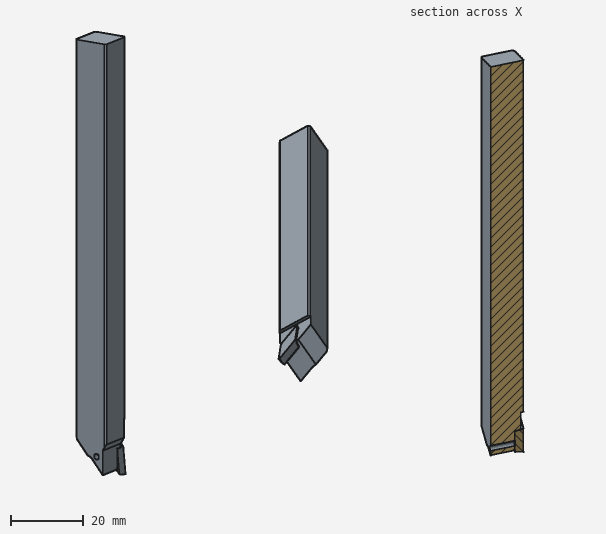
import cadquery as cq
import math


length = 125.0
width = 10.0
half = width / 2
edge_chamfer = 0.5

nose_angle = 35.0
lead_lean = 5.5
flank_lean = lead_lean + nose_angle
bisector = lead_lean + nose_angle / 2
insert_side = 8.3
insert_thickness = 2.6
insert_clearance = 7.0
nose_radius = 0.2

recess_depth = 0.75
recess_top = 16.0
seat_margin = 0.35
heel_height = 11.5
shoulder_x = -0.95
ledge_drop_angle = 15.0
ledge_fillet = 2.0
side_relief_x = 4.0
side_relief_top = 10.7
side_relief_bottom = 8.9
screw_hole_diameter = 1.6


def along(point, angle, distance):
    """Point reached by going up from `point`, leaning `angle` degrees from Z toward -X."""
    lean = math.radians(angle)
    return (point[0] - distance * math.sin(lean), point[1] + distance * math.cos(lean))


def inset_tip(inset):
    """Lower corner of the insert's sharp rhombus after all its sides move inward by `inset`."""
    nose_center = (half - nose_radius, nose_radius)
    return along(nose_center, bisector, (inset - nose_radius) / math.sin(math.radians(nose_angle / 2)))


relief_inset = insert_thickness * math.tan(math.radians(insert_clearance))
seat_y = half - insert_thickness

tip = inset_tip(0)
long_half_diagonal = insert_side * math.cos(math.radians(nose_angle / 2))
insert_center = along(tip, bisector, long_half_diagonal)


def plane_at(y):
    """XZ plane at the given Y; its extrusions go toward -Y."""
    return cq.Workplane("XZ", origin=(0, y, 0))


def make_insert():
    """Rhombus with rounded corners that narrows from its +Y face down to its seat."""
    core_side = insert_side - 2 * nose_radius / math.sin(math.radians(nose_angle))
    core_tip = inset_tip(nose_radius)
    right_corner = along(core_tip, lead_lean, core_side)
    left_corner = along(core_tip, flank_lean, core_side)
    top_corner = along(right_corner, flank_lean, core_side)
    return (
        plane_at(half)
        .polyline([core_tip, right_corner, top_corner, left_corner])
        .close()
        .offset2D(nose_radius, "arc")
        .extrude(insert_thickness, taper=insert_clearance)
    )


def make_shank():
    return (
        cq.Workplane("XY")
        .rect(width, width)
        .extrude(length)
        .edges("|Z")
        .chamfer(edge_chamfer)
    )


def make_head_envelope():
    """Side profile of the holder across its full width, with its lower end cut back behind the insert."""
    flank_slope = 1 / math.tan(math.radians(flank_lean))
    ledge_slope = math.tan(math.radians(ledge_drop_angle))
    flank_x, flank_z = inset_tip(relief_inset + seat_margin)
    shoulder_z = heel_height - (shoulder_x + half) * flank_slope
    step_height = flank_z + (flank_x - shoulder_x) * flank_slope - shoulder_z
    ledge_run = step_height / (flank_slope - ledge_slope)
    ledge_end = (shoulder_x + ledge_run, shoulder_z - ledge_run * ledge_slope)
    head_bottom = flank_z + (flank_x - side_relief_x) * flank_slope
    profile = [
        (-half, length),
        (-half, heel_height),
        (shoulder_x, shoulder_z),
        ledge_end,
        (side_relief_x, head_bottom),
        (side_relief_x, side_relief_bottom),
        (half, side_relief_top),
        (half, length),
    ]
    ledge_corner = cq.selectors.NearestToPointSelector((ledge_end[0], 0, ledge_end[1]))
    return plane_at(half).polyline(profile).close().extrude(width).edges(ledge_corner).fillet(ledge_fillet)


def make_holder(insert):
    holder = make_shank().intersect(make_head_envelope())
    recess = cq.Workplane("XY").box(width, recess_depth, recess_top, centered=(True, False, False))
    holder = holder.cut(recess.translate((0, half - recess_depth, 0)))
    holder = holder.cut(insert)
    screw_hole = plane_at(seat_y).center(*insert_center).circle(screw_hole_diameter / 2).extrude(width)
    return holder.cut(screw_hole)


insert = make_insert()
holder = make_holder(insert)

result = cq.Compound.makeCompound([holder.val(), insert.val()])